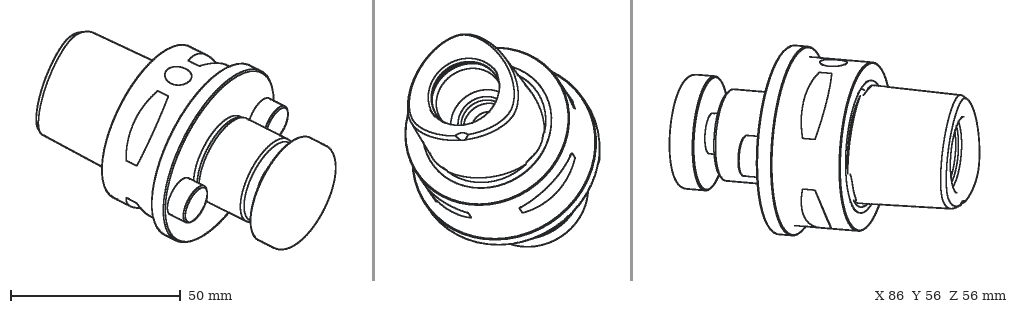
import cadquery as cq
import math


SHANK_LENGTH = 30.0
SHANK_MEAN_RADIUS = 35.0 / 2
SHANK_ECCENTRICITY = 1.1
SHANK_STRAIGHT_LENGTH = 2.1
SHANK_TAPER = 0.025
SHANK_CHAMFER_LENGTH = 1.5
SHANK_CHAMFER_DEPTH = 0.9
LOBE_HALF_ANGLE = 27.0
LOBE_CENTRES = (90.0, 210.0, 330.0)
CURVE_STEPS = 16

RELIEF_INNER_RADIUS = 17.9
RELIEF_OUTER_RADIUS = 19.6
RELIEF_LENGTH = 1.4

NOTCH_RADIUS = 2.8
NOTCH_CENTRE_RADIUS = 16.85

BODY_RADIUS = 50.0 / 2
BODY_CHAMFER = 0.3
FLANGE_DIAMETER = 56.0
FLANGE_RADIUS = FLANGE_DIAMETER / 2
FLANGE_START = 20.2
FLANGE_END = 25.0
FLANGE_REAR_CHAMFER = 0.3
FLANGE_FRONT_CHAMFER = 0.4
BODY_FILLET = 0.8

SPIGOT_RADIUS = 13.6
SPIGOT_END = 43.0
SPIGOT_CHAMFER = 0.8
SPIGOT_NECK_RADIUS = 26.4 / 2
SPIGOT_NECK_LENGTH = 1.3
SPIGOT_NECK_TAPER_LENGTH = 0.95

GROOVE_POSITION = 10.1
SLOT_ANGLES = (45.0, 135.0, 225.0, 315.0)
SLOT_FLOOR_RADIUS = 22.3
SLOT_FLOOR_WIDTH = 3.9
SLOT_CORNER_FILLET = 0.3
SLOT_WALL_ANGLE = 30.0
DIMPLE_RADIUS = 4.0

BORE_MOUTH_RADIUS = 24.5 / 2
BORE_MOUTH_ROUND = 1.0
BORE_ENTRY_RADIUS = BORE_MOUTH_RADIUS - BORE_MOUTH_ROUND
BORE_ENTRY_DEPTH = 4.0
LIP_RADIUS = 21.0 / 2
LIP_LENGTH = 0.9
CLAMP_GROOVE_RADIUS = 24.0 / 2
CLAMP_GROOVE_FLOOR_END = 7.7
CLAMP_GROOVE_FILLET = 0.7
CLAMP_GROOVE_END = 9.4
BORE_RADIUS = 10.15
BORE_FLOOR = -3.4
PILOT_RADIUS = 14.4 / 2
PILOT_CHAMFER = 0.8
PILOT_LENGTH = 3.4
SCREW_WINDOW_RADIUS = 10.15 / 2
PILOT_CONE_HALF_ANGLE = 59.0
PILOT_CONE_LENGTH = (PILOT_RADIUS - SCREW_WINDOW_RADIUS) / math.tan(math.radians(PILOT_CONE_HALF_ANGLE))

SCREW_SHANK_RADIUS = 12.0 / 2
SCREW_TIP = BORE_FLOOR + PILOT_LENGTH + PILOT_CONE_LENGTH
SCREW_HEAD_RADIUS = 33.9 / 2
SCREW_HEAD_START = 48.0
SCREW_END = 86.0 - SHANK_LENGTH
SCREW_HEAD_CHAMFER = 0.35
SCREW_HEAD_FILLET = 2.0

PIN_RADIUS = 12.0 / 2
PIN_LENGTH = 6.2
PIN_CHAMFER = 0.4
PIN_CENTRE_RADIUS = 20.5


def revolve_about_x(profile):
    """Turn a closed profile drawn as (axial position, radius) about the X axis."""
    return profile.close().revolve(360, (0, 0, 0), (1, 0, 0))


def polygon_point(angle, mean_radius):
    """Point (y, z) of the three-lobed outline whose tangent faces the given angle."""
    lobe_phase = 3 * math.radians(angle - LOBE_CENTRES[0])
    support = mean_radius + SHANK_ECCENTRICITY * math.cos(lobe_phase)
    slope = -3 * SHANK_ECCENTRICITY * math.sin(lobe_phase)
    cos_a = math.cos(math.radians(angle))
    sin_a = math.sin(math.radians(angle))
    return support * cos_a - slope * sin_a, support * sin_a + slope * cos_a


def polygon_wire(x, mean_radius):
    """Closed three-lobed outline in the plane at x, one curve per lobe and per flank."""
    borders = []
    for centre in LOBE_CENTRES:
        borders += [centre - LOBE_HALF_ANGLE, centre + LOBE_HALF_ANGLE]
    borders.append(borders[0] + 360)
    edges = []
    for start, end in zip(borders, borders[1:]):
        points = []
        for step in range(CURVE_STEPS + 1):
            y, z = polygon_point(start + (end - start) * step / CURVE_STEPS, mean_radius)
            points.append(cq.Vector(x, y, z))
        edges.append(cq.Edge.makeSpline(points))
    return cq.Wire.assembleEdges(edges)


def make_shank():
    """Tapered polygon shank with a chamfered end and a short straight root."""
    chamfer_end = -SHANK_LENGTH + SHANK_CHAMFER_LENGTH
    taper_length = -SHANK_STRAIGHT_LENGTH - chamfer_end
    small_radius = SHANK_MEAN_RADIUS - SHANK_TAPER * taper_length
    sections = [
        (-SHANK_LENGTH, small_radius - SHANK_CHAMFER_DEPTH),
        (chamfer_end, small_radius),
        (-SHANK_STRAIGHT_LENGTH, SHANK_MEAN_RADIUS),
        (0, SHANK_MEAN_RADIUS),
    ]
    wires = [polygon_wire(x, radius) for x, radius in sections]
    return cq.Workplane(cq.Solid.makeLoft(wires, True))


def make_body_and_spigot():
    """Turned body, flange and spigot."""
    neck_end = FLANGE_END + SPIGOT_NECK_LENGTH
    fillet_drop = BODY_FILLET * math.sqrt(0.5)
    profile = (
        cq.Workplane("XY")
        .lineTo(0, BODY_RADIUS - BODY_CHAMFER)
        .lineTo(BODY_CHAMFER, BODY_RADIUS)
        .lineTo(FLANGE_START - BODY_FILLET, BODY_RADIUS)
        .threePointArc(
            (FLANGE_START - BODY_FILLET + fillet_drop, BODY_RADIUS + BODY_FILLET - fillet_drop),
            (FLANGE_START, BODY_RADIUS + BODY_FILLET),
        )
        .lineTo(FLANGE_START, FLANGE_RADIUS - FLANGE_REAR_CHAMFER)
        .lineTo(FLANGE_START + FLANGE_REAR_CHAMFER, FLANGE_RADIUS)
        .lineTo(FLANGE_END - FLANGE_FRONT_CHAMFER, FLANGE_RADIUS)
        .lineTo(FLANGE_END, FLANGE_RADIUS - FLANGE_FRONT_CHAMFER)
        .lineTo(FLANGE_END, SPIGOT_NECK_RADIUS)
        .lineTo(neck_end, SPIGOT_NECK_RADIUS)
        .lineTo(neck_end + SPIGOT_NECK_TAPER_LENGTH, SPIGOT_RADIUS)
        .lineTo(SPIGOT_END - SPIGOT_CHAMFER, SPIGOT_RADIUS)
        .lineTo(SPIGOT_END, SPIGOT_RADIUS - SPIGOT_CHAMFER)
        .lineTo(SPIGOT_END, 0)
    )
    return revolve_about_x(profile)


def relief_groove():
    """Ring that trims the lobes at the root and rounds a trough into the shoulder."""
    trough_radius = (RELIEF_OUTER_RADIUS - RELIEF_INNER_RADIUS) / 2
    centre_radius = RELIEF_INNER_RADIUS + trough_radius
    lead_centre = trough_radius - RELIEF_LENGTH
    profile = (
        cq.Workplane("XY")
        .moveTo(lead_centre, RELIEF_OUTER_RADIUS)
        .threePointArc((-RELIEF_LENGTH, centre_radius), (lead_centre, RELIEF_INNER_RADIUS))
        .lineTo(0, RELIEF_INNER_RADIUS)
        .threePointArc((trough_radius, centre_radius), (0, RELIEF_OUTER_RADIUS))
    )
    return revolve_about_x(profile)


def locating_notch():
    """Conical notch in the underside of the shank end."""
    centre = cq.Vector(-SHANK_LENGTH, 0, -NOTCH_CENTRE_RADIUS)
    return cq.Solid.makeCone(NOTCH_RADIUS, 0, NOTCH_RADIUS, centre, cq.Vector(1, 0, 0))


def gripper_slot(angle):
    """Flat-floored slot with sloping walls, cut across the body at one angle."""
    depth = BODY_RADIUS - SLOT_FLOOR_RADIUS
    floor_half = SLOT_FLOOR_WIDTH / 2
    mouth_half = floor_half + depth * math.tan(math.radians(SLOT_WALL_ANGLE))
    slot = (
        cq.Workplane("XZ")
        .moveTo(GROOVE_POSITION - floor_half, SLOT_FLOOR_RADIUS)
        .lineTo(GROOVE_POSITION + floor_half, SLOT_FLOOR_RADIUS)
        .lineTo(GROOVE_POSITION + mouth_half, BODY_RADIUS)
        .lineTo(GROOVE_POSITION - mouth_half, BODY_RADIUS)
        .close()
        .extrude(BODY_RADIUS, both=True)
        .edges("|Y")
        .edges("<Z")
        .fillet(SLOT_CORNER_FILLET)
    )
    return slot.rotate((0, 0, 0), (1, 0, 0), angle)


def dimple():
    """90 degree conical dimple in the top of the body."""
    mouth = cq.Vector(GROOVE_POSITION, 0, BODY_RADIUS)
    return cq.Solid.makeCone(DIMPLE_RADIUS, 0, DIMPLE_RADIUS, mouth, cq.Vector(0, 0, -1))


def stepped_bore():
    """Clamping bore from the shank end, with the window that shows the screw tip."""
    mouth = -SHANK_LENGTH
    mouth_inset = BORE_MOUTH_ROUND * (1 - math.sqrt(0.5))
    lip_start = mouth + BORE_ENTRY_DEPTH + BORE_ENTRY_RADIUS - LIP_RADIUS
    lip_end = lip_start + LIP_LENGTH
    groove_floor_end = mouth + CLAMP_GROOVE_FLOOR_END
    fillet_rise = CLAMP_GROOVE_FILLET * math.sqrt(0.5)
    profile = (
        cq.Workplane("XY")
        .moveTo(mouth, 0)
        .lineTo(mouth, BORE_MOUTH_RADIUS)
        .threePointArc(
            (mouth + mouth_inset, BORE_ENTRY_RADIUS + mouth_inset),
            (mouth + BORE_MOUTH_ROUND, BORE_ENTRY_RADIUS),
        )
        .lineTo(mouth + BORE_ENTRY_DEPTH, BORE_ENTRY_RADIUS)
        .lineTo(lip_start, LIP_RADIUS)
        .lineTo(lip_end, LIP_RADIUS)
        .lineTo(lip_end, CLAMP_GROOVE_RADIUS)
        .lineTo(groove_floor_end, CLAMP_GROOVE_RADIUS)
        .threePointArc(
            (groove_floor_end + fillet_rise, CLAMP_GROOVE_RADIUS - CLAMP_GROOVE_FILLET + fillet_rise),
            (groove_floor_end + CLAMP_GROOVE_FILLET, CLAMP_GROOVE_RADIUS - CLAMP_GROOVE_FILLET),
        )
        .lineTo(mouth + CLAMP_GROOVE_END, BORE_RADIUS)
        .lineTo(BORE_FLOOR, BORE_RADIUS)
        .lineTo(BORE_FLOOR, PILOT_RADIUS + PILOT_CHAMFER)
        .lineTo(BORE_FLOOR + PILOT_CHAMFER, PILOT_RADIUS)
        .lineTo(BORE_FLOOR + PILOT_LENGTH, PILOT_RADIUS)
        .lineTo(SCREW_TIP, SCREW_WINDOW_RADIUS)
        .lineTo(SCREW_TIP, 0)
    )
    return revolve_about_x(profile)


def screw_hole():
    """Hole through the spigot that the screw shank fills."""
    hole = cq.Workplane("YZ", origin=(SCREW_TIP, 0, 0)).circle(SCREW_SHANK_RADIUS)
    return hole.extrude(SPIGOT_END - SCREW_TIP)


def make_holder():
    """Holder: shank, body, flange and spigot in one piece, with all its cuts."""
    holder = make_shank().union(make_body_and_spigot())
    holder = holder.cut(relief_groove())
    holder = holder.cut(cq.Workplane(locating_notch()))
    for angle in SLOT_ANGLES:
        holder = holder.cut(gripper_slot(angle))
    holder = holder.cut(cq.Workplane(dimple()))
    return holder.cut(stepped_bore()).cut(screw_hole())


def make_clamping_screw():
    """Screw with a plain shank and a wide disc head."""
    shank = cq.Workplane("YZ", origin=(SCREW_TIP, 0, 0)).circle(SCREW_SHANK_RADIUS)
    shank = shank.extrude(SCREW_HEAD_START - SCREW_TIP)
    head = cq.Workplane("YZ", origin=(SCREW_HEAD_START, 0, 0)).circle(SCREW_HEAD_RADIUS)
    head = head.extrude(SCREW_END - SCREW_HEAD_START)
    head = head.faces("<X").chamfer(SCREW_HEAD_CHAMFER).faces(">X").edges().fillet(SCREW_HEAD_FILLET)
    return shank.union(head)


def make_driving_pin(side):
    """Round driving pin standing on the flange face; side is +1 or -1 along Y."""
    pin = cq.Workplane("YZ", origin=(FLANGE_END, side * PIN_CENTRE_RADIUS, 0)).circle(PIN_RADIUS)
    return pin.extrude(PIN_LENGTH).faces(">X").chamfer(PIN_CHAMFER)


holder = make_holder()
clamping_screw = make_clamping_screw()
driving_pins = [make_driving_pin(side) for side in (1, -1)]

result = cq.Compound.makeCompound(
    [holder.val(), clamping_screw.val(), *[pin.val() for pin in driving_pins]]
)